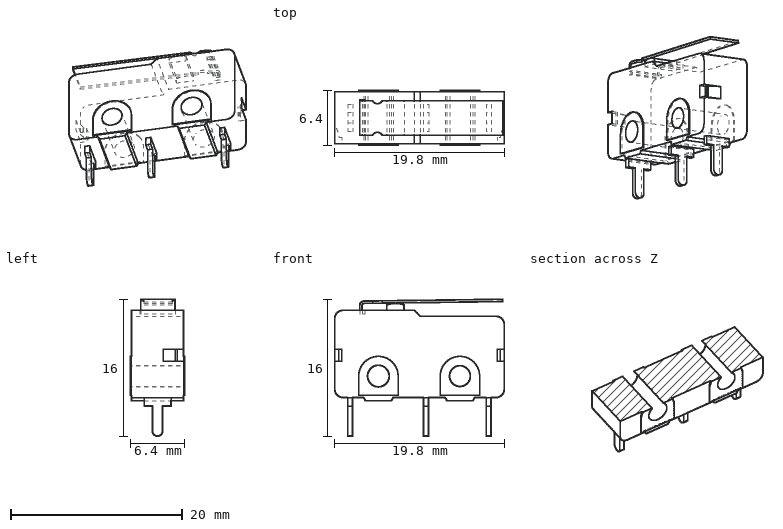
import cadquery as cq
import math


LENGTH = 19.8
WIDTH = 6.1
HEIGHT = 10.2
CORNER_RADIUS = 1.0
STEP_DROP = 0.7
STEP_X = -0.61
END_X = LENGTH / 2
FRONT_Y = -WIDTH / 2

MOUNT_X = (-4.8, 4.71)
MOUNT_DIAMETERS = (2.5, 2.4)
MOUNT_Z = 2.51
PAD_RADIUS = 2.3
PAD_BASE_Z = 0.25
OVERALL_WIDTH = 6.4
FOOT_TOP_WIDTH = 3.45
FOOT_BOTTOM_WIDTH = 3.03
FOOT_HEIGHT = 0.38

NOTCH_BOTTOM_Z = 4.22
NOTCH_HEIGHT = 1.45
NOTCH_DEPTH = 0.85
HOOK_RECESS = 0.51
HOOK_TIP_Y = 0.77
HOOK_RAMP_START_Y = 0.97
HOOK_RAMP_END_Y = 2.4

PIN_X = (-8.08, 0.75, 8.05)
PIN_THICKNESS = 0.6
PIN_SHOULDER_WIDTH = 3.15
PIN_SHOULDER_LENGTH = 0.99
PIN_WIDTH = 1.2
PIN_LENGTH = 4.5

LEVER_TOP_Z = 11.48
LEVER_TIP_X = 9.7
LEVER_LENGTH = 16.7
LEVER_THICKNESS = 0.3
LEVER_FRONT_Y = -2.04
LEVER_WIDTH = 4.0
LEVER_TILT = 0.75
BEND_RADIUS = 0.53
RELIEF_X = -4.91
RELIEF_RADIUS = 0.63
RELIEF_DEPTH = 0.34

SLOT_DEPTH = 0.4
SLOT_WIDTH = 0.6
SLOT_INSET = 0.04
SLOT_EXTRA = 0.14

PLUNGER_X = -2.81
PLUNGER_LENGTH = 2.02
PLUNGER_SIDE_Z = 10.83
PLUNGER_CROWN_Z = 11.0


def extrude_across(outline, front_y, width):
    """Extrude a closed XZ outline towards +Y, starting at front_y."""
    return outline.extrude(-width).translate((0, front_y, 0))


def housing():
    outline = (
        cq.Workplane("XZ")
        .moveTo(-END_X, 0)
        .lineTo(END_X, 0)
        .lineTo(END_X, HEIGHT - STEP_DROP)
        .lineTo(STEP_X + STEP_DROP, HEIGHT - STEP_DROP)
        .lineTo(STEP_X, HEIGHT)
        .lineTo(-END_X, HEIGHT)
        .close()
    )
    block = extrude_across(outline, FRONT_Y, WIDTH)
    return block.edges("|Y and (<X or >X)").fillet(CORNER_RADIUS)


def mount_pad(x):
    """Round-topped pad through the housing, standing proud of both faces."""
    outline = (
        cq.Workplane("XZ")
        .moveTo(x - PAD_RADIUS, PAD_BASE_Z)
        .lineTo(x + PAD_RADIUS, PAD_BASE_Z)
        .lineTo(x + PAD_RADIUS, MOUNT_Z)
        .threePointArc((x, MOUNT_Z + PAD_RADIUS), (x - PAD_RADIUS, MOUNT_Z))
        .close()
    )
    return extrude_across(outline, -OVERALL_WIDTH / 2, OVERALL_WIDTH)


def mount_foot(x):
    outline = cq.Workplane("XZ").polyline([
        (x - FOOT_TOP_WIDTH / 2, 0),
        (x - FOOT_BOTTOM_WIDTH / 2, -FOOT_HEIGHT),
        (x + FOOT_BOTTOM_WIDTH / 2, -FOOT_HEIGHT),
        (x + FOOT_TOP_WIDTH / 2, 0),
    ]).close()
    return extrude_across(outline, FRONT_Y, WIDTH)


def mount_hole(x, diameter):
    outline = cq.Workplane("XZ").center(x, MOUNT_Z).circle(diameter / 2)
    return extrude_across(outline, -OVERALL_WIDTH / 2, OVERALL_WIDTH)


def left_notch():
    """Space in front of the left snap hook and beside its ramp."""
    return (
        cq.Workplane("XY", origin=(-END_X, FRONT_Y, NOTCH_BOTTOM_Z))
        .polyline([
            (0, 0),
            (NOTCH_DEPTH, 0),
            (NOTCH_DEPTH, HOOK_TIP_Y),
            (HOOK_RECESS, HOOK_TIP_Y),
            (HOOK_RECESS, HOOK_RAMP_START_Y),
            (0, HOOK_RAMP_END_Y),
        ])
        .close()
        .extrude(NOTCH_HEIGHT)
    )


def pin(x):
    tip_z = -PIN_LENGTH + PIN_WIDTH / 2
    outline = (
        cq.Workplane("YZ", origin=(x - PIN_THICKNESS / 2, 0, 0))
        .moveTo(-PIN_SHOULDER_WIDTH / 2, 0)
        .lineTo(-PIN_SHOULDER_WIDTH / 2, -PIN_SHOULDER_LENGTH)
        .lineTo(-PIN_WIDTH / 2, -PIN_SHOULDER_LENGTH)
        .lineTo(-PIN_WIDTH / 2, tip_z)
        .threePointArc((0, -PIN_LENGTH), (PIN_WIDTH / 2, tip_z))
        .lineTo(PIN_WIDTH / 2, -PIN_SHOULDER_LENGTH)
        .lineTo(PIN_SHOULDER_WIDTH / 2, -PIN_SHOULDER_LENGTH)
        .lineTo(PIN_SHOULDER_WIDTH / 2, 0)
        .close()
    )
    return outline.extrude(PIN_THICKNESS)


def lever_slot():
    slot_x = LEVER_TIP_X - LEVER_LENGTH + SLOT_INSET
    return cq.Workplane("XY").box(
        SLOT_WIDTH, LEVER_WIDTH + SLOT_EXTRA, SLOT_DEPTH, centered=False
    ).translate((slot_x, LEVER_FRONT_Y, HEIGHT - SLOT_DEPTH))


def lever():
    """Bent strip drawn level, then tilted about the upper edge of its tip."""
    leg_x = LEVER_TIP_X - LEVER_LENGTH
    tilt_rise = LEVER_LENGTH * math.sin(math.radians(LEVER_TILT))
    leg_bottom_z = HEIGHT - SLOT_DEPTH + tilt_rise
    underside_z = LEVER_TOP_Z - LEVER_THICKNESS
    outline = cq.Workplane("XZ").polyline([
        (leg_x, leg_bottom_z),
        (leg_x, LEVER_TOP_Z),
        (LEVER_TIP_X, LEVER_TOP_Z),
        (LEVER_TIP_X, underside_z),
        (leg_x + LEVER_THICKNESS, underside_z),
        (leg_x + LEVER_THICKNESS, leg_bottom_z),
    ]).close()
    strip = extrude_across(outline, LEVER_FRONT_Y, LEVER_WIDTH)
    outer_edge = cq.selectors.NearestToPointSelector((leg_x, 0, LEVER_TOP_Z))
    strip = strip.edges("|Y").edges(outer_edge).fillet(BEND_RADIUS)
    inner_edge = cq.selectors.NearestToPointSelector((leg_x + LEVER_THICKNESS, 0, underside_z))
    strip = strip.edges("|Y").edges(inner_edge).fillet(BEND_RADIUS - LEVER_THICKNESS)

    relief_offset = LEVER_WIDTH / 2 + RELIEF_RADIUS - RELIEF_DEPTH
    lever_middle_y = LEVER_FRONT_Y + LEVER_WIDTH / 2
    reliefs = (
        cq.Workplane("XY", origin=(RELIEF_X, lever_middle_y, underside_z))
        .pushPoints([(0, -relief_offset), (0, relief_offset)])
        .circle(RELIEF_RADIUS)
        .extrude(LEVER_THICKNESS)
    )
    strip = strip.cut(reliefs)
    tip = (LEVER_TIP_X, 0, LEVER_TOP_Z)
    tip_axis_end = (LEVER_TIP_X, 1, LEVER_TOP_Z)
    return strip.rotate(tip, tip_axis_end, -LEVER_TILT)


def plunger():
    left_x = PLUNGER_X - PLUNGER_LENGTH / 2
    right_x = PLUNGER_X + PLUNGER_LENGTH / 2
    base_z = HEIGHT - SLOT_DEPTH
    outline = (
        cq.Workplane("XZ")
        .moveTo(left_x, base_z)
        .lineTo(right_x, base_z)
        .lineTo(right_x, PLUNGER_SIDE_Z)
        .threePointArc((PLUNGER_X, PLUNGER_CROWN_Z), (left_x, PLUNGER_SIDE_Z))
        .close()
    )
    return extrude_across(outline, LEVER_FRONT_Y, LEVER_WIDTH)


body = housing()
for mount_x in MOUNT_X:
    body = body.union(mount_pad(mount_x)).union(mount_foot(mount_x))
for mount_x, mount_diameter in zip(MOUNT_X, MOUNT_DIAMETERS):
    body = body.cut(mount_hole(mount_x, mount_diameter))

notch = left_notch()
body = body.cut(notch).cut(notch.mirror("YZ")).cut(lever_slot())

for pin_x in PIN_X:
    body = body.union(pin(pin_x))

result = body.union(plunger()).union(lever())